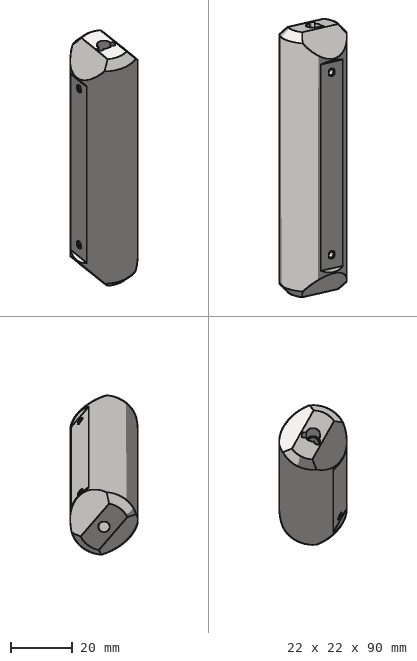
import cadquery as cq

length = 90.0
diameter = 22.0
radius = diameter / 2
end_z = length / 2
rim_chamfer_height = 2.9
rim_chamfer_width = 2.7

ridge_width = 7.6
wedge_depth = 8.55

flat_distance = 10.0
flat_end_inset = 10.0
flat_depth = radius - flat_distance

cross_hole_diameter = 2.0
cross_mouth_diameter = 2.5
cross_mouth_depth = 0.45
upper_hole_inset = 13.5
lower_hole_inset = 14.6

bore_diameter = 3.7
bore_mouth_diameter = 4.6
bore_mouth_depth = 9.0
pin_diameter = 2.0
pin_depth = 9.0
pin_x = 1.35
pin_y = 2.3


def side_prism(points):
    """Extrude a YZ outline across the full width of the bar."""
    return cq.Workplane("YZ").polyline(points).close().extrude(radius, both=True)


def body():
    bar = cq.Workplane("XY").workplane(offset=-end_z).circle(radius).extrude(length)
    bar = bar.faces("<Z or >Z").chamfer(rim_chamfer_height, rim_chamfer_width)
    half_ridge = ridge_width / 2
    shoulder_z = end_z - wedge_depth
    profile = side_prism([
        (-half_ridge, end_z),
        (half_ridge, end_z),
        (radius, shoulder_z),
        (radius, -shoulder_z),
        (half_ridge, -end_z),
        (-half_ridge, -end_z),
        (-radius, -shoulder_z),
        (-radius, shoulder_z),
    ])
    return bar.intersect(profile)


def flat_cutter(side):
    """Material removed for the flat on the given Y side (-1 or 1)."""
    floor_z = end_z - flat_end_inset
    mouth_z = floor_z + flat_depth
    return side_prism([
        (side * flat_distance, -floor_z),
        (side * radius, -mouth_z),
        (side * radius, mouth_z),
        (side * flat_distance, floor_z),
    ])


def cross_hole(z):
    """Hole along Y at height z, with a counterbore in each flat."""
    plane = cq.Workplane("XZ").center(0, z)
    hole = plane.circle(cross_hole_diameter / 2).extrude(radius, both=True)
    mouth_floor = flat_distance - cross_mouth_depth
    mouths = plane.circle(cross_mouth_diameter / 2).extrude(radius, both=True)
    core = plane.circle(cross_mouth_diameter / 2).extrude(mouth_floor, both=True)
    return hole.union(mouths.cut(core))


def axial_holes():
    top = cq.Workplane("XY").workplane(offset=end_z)
    bore = top.circle(bore_diameter / 2).extrude(-length)
    mouth = top.circle(bore_mouth_diameter / 2).extrude(-bore_mouth_depth)
    pin_places = [(pin_x, pin_y), (pin_x, -pin_y)]
    pins = top.pushPoints(pin_places).circle(pin_diameter / 2).extrude(-pin_depth)
    return bore.union(mouth).union(pins)


result = body()
for side in (-1, 1):
    result = result.cut(flat_cutter(side))
for z in (end_z - upper_hole_inset, lower_hole_inset - end_z):
    result = result.cut(cross_hole(z))
result = result.cut(axial_holes())